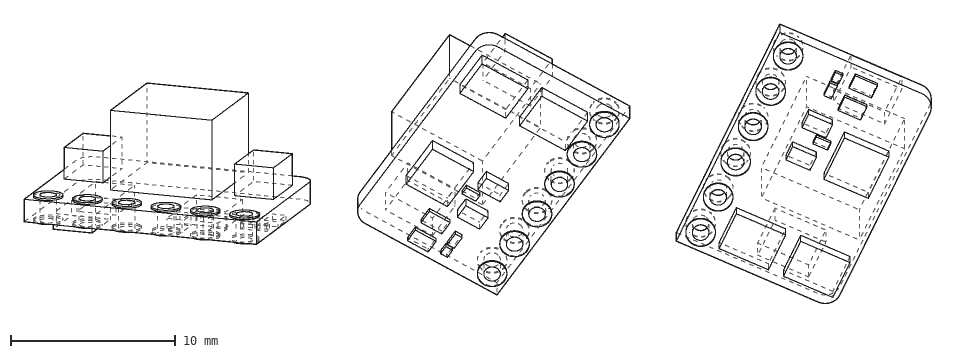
import cadquery as cq

board_length = 15.0
board_width = 10.5
board_thickness = 1.42
corner_radius = 1.0

hole_count = 6
hole_pitch = 2.54
hole_row_y = -4.15
hole_diameter = 1.0
pad_diameter = 1.8
pad_height = 0.1

inductor_side = 6.55
inductor_height = 5.02
inductor_y = 1.77
top_capacitor_length = 2.5
top_capacitor_width = 3.4
top_capacitor_height = 2.0
top_capacitor_x = 5.5
top_capacitor_y = 1.56

bottom_capacitor_length = 2.5
bottom_capacitor_width = 3.3
bottom_capacitor_x = -5.24
bottom_capacitor_ys = (3.1, -1.2)
regulator_side = 2.97
regulator_x = 1.77
regulator_front_y = 1.04
large_depth = 1.0

chip_length = 0.96
chip_width = 1.6
chip_depth = 0.8
chip_xs = (0.87, 3.2)
chip_y = -0.75

thin_depth = 0.33
thin_parts = (
    (2.12, 0.06, 0.5, 0.99),
    (4.96, 0.8, 0.96, 1.5),
    (5.46, -0.9, 0.92, 0.5),
    (6.38, -0.9, 0.6, 0.5),
    (6.52, 0.8, 0.9, 1.5),
)


def top_block(x, y, length, width, height):
    """Box standing on the top face of the board."""
    box = cq.Workplane("XY").box(length, width, height, centered=(True, True, False))
    return box.translate((x, y, board_thickness))


def bottom_block(x, y, length, width, depth):
    """Box hanging from the underside of the board."""
    box = cq.Workplane("XY").box(length, width, depth, centered=(True, True, False))
    return box.translate((x, y, -depth))


def hole_row(diameter):
    """Cylinders through the board at every hole, reaching both pad faces."""
    row_start = -hole_pitch * (hole_count - 1) / 2
    centers = [(row_start + i * hole_pitch, hole_row_y) for i in range(hole_count)]
    return (
        cq.Workplane("XY")
        .workplane(offset=-pad_height)
        .pushPoints(centers)
        .circle(diameter / 2)
        .extrude(board_thickness + 2 * pad_height)
    )


result = (
    cq.Workplane("XY")
    .box(board_length, board_width, board_thickness, centered=(True, True, False))
    .edges("|Z and >Y")
    .fillet(corner_radius)
)

result = result.union(top_block(0, inductor_y, inductor_side, inductor_side, inductor_height))
for side in (-1, 1):
    result = result.union(
        top_block(
            side * top_capacitor_x,
            top_capacitor_y,
            top_capacitor_length,
            top_capacitor_width,
            top_capacitor_height,
        )
    )

for y in bottom_capacitor_ys:
    result = result.union(
        bottom_block(
            bottom_capacitor_x, y, bottom_capacitor_length, bottom_capacitor_width, large_depth
        )
    )
regulator_y = regulator_front_y + regulator_side / 2
result = result.union(
    bottom_block(regulator_x, regulator_y, regulator_side, regulator_side, large_depth)
)
for x in chip_xs:
    result = result.union(bottom_block(x, chip_y, chip_length, chip_width, chip_depth))
for x, y, length, width in thin_parts:
    result = result.union(bottom_block(x, y, length, width, thin_depth))

result = result.union(hole_row(pad_diameter))
result = result.cut(hole_row(hole_diameter))